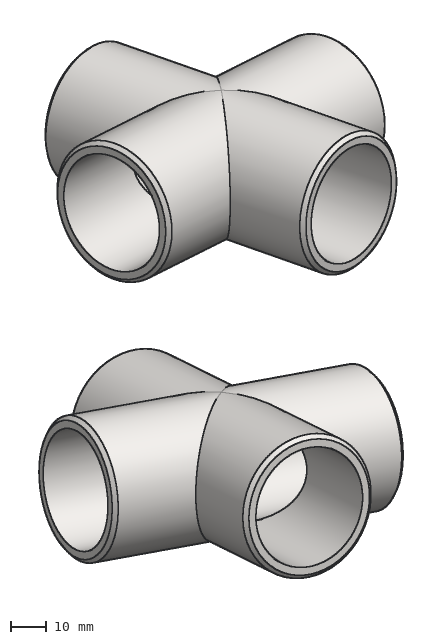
import cadquery as cq

length = 95.5
outer_diameter = 42.1
bore_diameter = 35.05
end_chamfer = 1.2


def rod(plane, diameter):
    """Full-length cylinder centred on the origin, along the normal of the plane."""
    return cq.Workplane(plane).circle(diameter / 2).extrude(length / 2, both=True)


def chamfered_rod(plane):
    """Outer body of one tube, with both end rims chamfered."""
    return rod(plane, outer_diameter).edges("%CIRCLE").chamfer(end_chamfer)


tube_planes = ("YZ", "XZ")

result = chamfered_rod(tube_planes[0]).union(chamfered_rod(tube_planes[1]))
for tube_plane in tube_planes:
    result = result.cut(rod(tube_plane, bore_diameter))